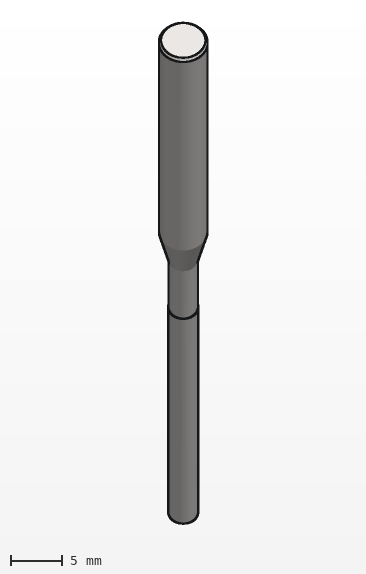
import cadquery as cq

total_length = 75.3
shank_diameter = 4.75
shank_chamfer_height = 0.4
shank_chamfer_inset = 0.2

shank_length = 30.3
taper_length = 4.5
neck_length = 7.45
neck_diameter = 2.85

cutter_diameter = 2.9
point_height = 0.6

shank_radius = shank_diameter / 2
neck_radius = neck_diameter / 2
cutter_radius = cutter_diameter / 2

shank_bottom = total_length - shank_length
taper_bottom = shank_bottom - taper_length
joint_height = taper_bottom - neck_length


def make_holder():
    """Shank with a chamfered top, tapering down to the neck."""
    return (
        cq.Workplane("XZ")
        .moveTo(0, joint_height)
        .lineTo(neck_radius, joint_height)
        .lineTo(neck_radius, taper_bottom)
        .lineTo(shank_radius, shank_bottom)
        .lineTo(shank_radius, total_length - shank_chamfer_height)
        .lineTo(shank_radius - shank_chamfer_inset, total_length)
        .lineTo(0, total_length)
        .close()
        .revolve(360, (0, 0, 0), (0, 1, 0))
    )


def make_cutter():
    """Cutting body with its point down, butting against the neck."""
    return (
        cq.Workplane("XZ")
        .moveTo(0, 0)
        .lineTo(cutter_radius, point_height)
        .lineTo(cutter_radius, joint_height)
        .lineTo(0, joint_height)
        .close()
        .revolve(360, (0, 0, 0), (0, 1, 0))
    )


holder = make_holder()
cutter = make_cutter()

result = cq.Compound.makeCompound([holder.val(), cutter.val()])